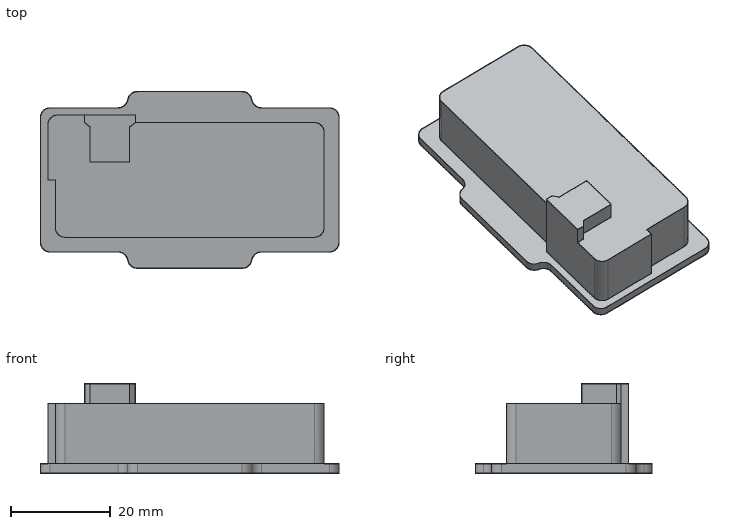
import cadquery as cq
import math

plate_length = 60.0
plate_width = 29.0
overall_width = 35.5
plate_thickness = 1.9
tab_flat_half = 10.5
corner_radius = 2.0

housing_half_length = 27.0
housing_half_width = 11.5
housing_top = 14.05
step_out = 1.5
step_front_y = 0.0

block_left = -21.1
block_right = -10.9
block_front_y = 3.6
block_top = 18.0
neck_inset = 1.15
neck_slope_depth = 0.9


def tab():
    """Tab crossing the plate, blended into it by two equal tangent arcs at each end."""
    half_plate = plate_width / 2
    half_overall = overall_width / 2
    rise = half_overall - half_plate
    sweep = math.acos(1 - rise / 2 / corner_radius)
    half_run = corner_radius * math.sin(sweep)
    mid_run = corner_radius * math.sin(sweep / 2)
    mid_rise = corner_radius * (1 - math.cos(sweep / 2))
    root_x = tab_flat_half + 2 * half_run
    blend_x = tab_flat_half + half_run
    blend_y = half_plate + rise / 2
    half_tab = (
        cq.Workplane("XY")
        .moveTo(-root_x, 0)
        .lineTo(-root_x, half_plate)
        .threePointArc((-root_x + mid_run, half_plate + mid_rise), (-blend_x, blend_y))
        .threePointArc((-tab_flat_half - mid_run, half_overall - mid_rise), (-tab_flat_half, half_overall))
        .lineTo(tab_flat_half, half_overall)
        .threePointArc((tab_flat_half + mid_run, half_overall - mid_rise), (blend_x, blend_y))
        .threePointArc((root_x - mid_run, half_plate + mid_rise), (root_x, half_plate))
        .lineTo(root_x, 0)
        .close()
        .extrude(plate_thickness)
    )
    return half_tab.union(half_tab.mirror("XZ"))


def base_plate():
    plate = (
        cq.Workplane("XY")
        .rect(plate_length, plate_width)
        .extrude(plate_thickness)
        .edges("|Z")
        .fillet(corner_radius)
    )
    return plate.union(tab())


step_left = -housing_half_length - step_out
step_back = housing_half_width + step_out


def housing():
    height = housing_top - plate_thickness
    outline = [
        (-housing_half_length, -housing_half_width),
        (housing_half_length, -housing_half_width),
        (housing_half_length, housing_half_width),
        (block_right, housing_half_width),
        (block_right, step_back),
        (step_left, step_back),
        (step_left, step_front_y),
        (-housing_half_length, step_front_y),
    ]
    rounded_corners = [outline[0], outline[1], outline[2], outline[5]]
    body = cq.Workplane("XY", origin=(0, 0, plate_thickness)).polyline(outline).close().extrude(height)
    for x, y in rounded_corners:
        corner_edge = cq.selectors.NearestToPointSelector((x, y, plate_thickness + height / 2))
        body = body.edges("|Z").edges(corner_edge).fillet(corner_radius)
    return body


def connector_block():
    slope_front_y = housing_half_width - neck_slope_depth
    neck_left = block_left + neck_inset
    neck_right = block_right - neck_inset
    outline = [
        (block_left, step_back),
        (block_left, housing_half_width),
        (neck_left, slope_front_y),
        (neck_left, block_front_y),
        (neck_right, block_front_y),
        (neck_right, slope_front_y),
        (block_right, housing_half_width),
        (block_right, step_back),
    ]
    return (
        cq.Workplane("XY", origin=(0, 0, housing_top))
        .polyline(outline)
        .close()
        .extrude(block_top - housing_top)
    )


result = base_plate().union(housing()).union(connector_block())